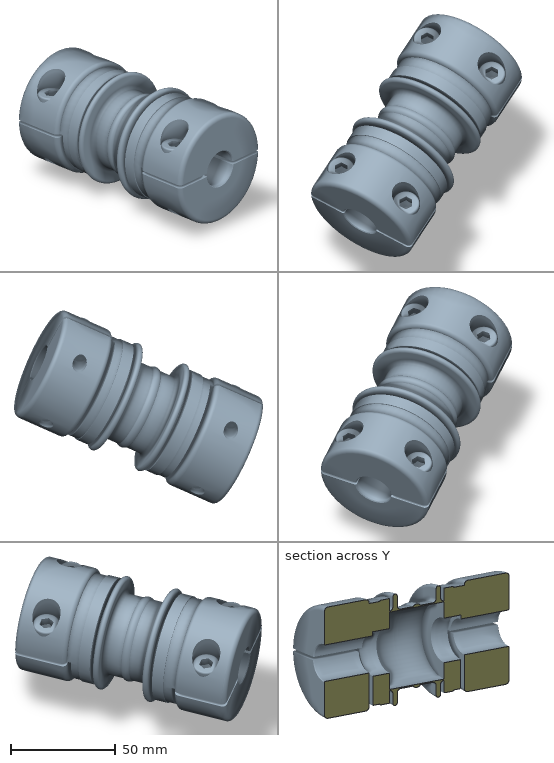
import cadquery as cq
import math


length = 107.0
outer_radius = 56.0 / 2

clamp_width = 26.1
clamp_fillet = 2.1
bore_radius = 18.0 / 2
bore_chamfer = 0.4
inner_bore_radius = 22.0 / 2
neck_radius = 51.6 / 2
neck_length = 6.0
ring_radius = 52.6 / 2
ring_width = 5.7
slit_height = 1.7
undercut_width = 1.9

end_x = -length / 2
clamp_x = end_x + clamp_width
undercut_x = clamp_x + undercut_width
ring_x = clamp_x + neck_length
tube_x = ring_x + ring_width

tube_radius = 40.0 / 2
tube_inner_radius = 38.4 / 2
disc_width = 2.9
disc_x = -12.5
disc_root_fillet = 1.7
bead_width = 4.3
bead_height = 1.0

screw_x = end_x + clamp_width / 2
screw_y = 18.0
head_radius = 13.0 / 2
head_height = 8.0
head_top_z = 15.5
head_fillet = 0.9
counterbore_radius = 13.5 / 2
seat_z = head_top_z - head_height
clearance_radius = 8.6 / 2
shank_radius = 8.0 / 2
shank_length = 20.0
tapped_radius = 6.8 / 2
socket_flats = 6.0
socket_depth = 4.0
socket_point_depth = 2.0


def cylinder_x(radius, start, end):
    """Solid cylinder on the X axis between two stations."""
    return cq.Workplane("YZ", origin=(start, 0, 0)).circle(radius).extrude(end - start)


def cylinder_z(radius, y, bottom, top):
    """Solid cylinder along Z on a screw axis."""
    return cq.Workplane("XY", origin=(screw_x, y, bottom)).circle(radius).extrude(top - bottom)


def box_between(x_range, z_range):
    """Box across the full width in Y, between two X and two Z limits."""
    x_size = x_range[1] - x_range[0]
    z_size = z_range[1] - z_range[0]
    box = cq.Workplane("XY").box(x_size, 2 * length, z_size, centered=(False, True, False))
    return box.translate((x_range[0], 0, z_range[0]))


def make_hub():
    """Clamp, neck and ring, with the bore and the L-shaped clamping slit."""
    clamp = cylinder_x(outer_radius, end_x, clamp_x).edges().fillet(clamp_fillet)
    neck = cylinder_x(neck_radius, clamp_x - clamp_fillet, ring_x)
    ring = cylinder_x(ring_radius, ring_x, tube_x)
    hub = clamp.union(neck).union(ring)
    hub = hub.cut(cylinder_x(bore_radius, end_x, undercut_x))
    hub = hub.faces("<X").edges(cq.selectors.RadiusNthSelector(0)).chamfer(bore_chamfer)
    hub = hub.cut(cylinder_x(inner_bore_radius, undercut_x, tube_x))
    slit = box_between((end_x, undercut_x), (-slit_height / 2, slit_height / 2))
    undercut = box_between((clamp_x, undercut_x), (-length, slit_height / 2))
    return hub.cut(slit).cut(undercut)


def make_bellows_half():
    """Half of the thin tube with one round-edged disc, revolved about X."""
    disc_left = disc_x - disc_width / 2
    disc_right = disc_x + disc_width / 2
    tip_base = outer_radius - disc_width / 2
    fillet_top = tube_radius + disc_root_fillet
    arc_middle = disc_root_fillet * (1 - math.sqrt(0.5))
    profile = (
        cq.Workplane("XY")
        .moveTo(tube_x, tube_inner_radius)
        .lineTo(tube_x, tube_radius)
        .lineTo(disc_left - disc_root_fillet, tube_radius)
        .threePointArc((disc_left - arc_middle, tube_radius + arc_middle), (disc_left, fillet_top))
        .lineTo(disc_left, tip_base)
        .threePointArc((disc_x, outer_radius), (disc_right, tip_base))
        .lineTo(disc_right, fillet_top)
        .threePointArc(
            (disc_right + arc_middle, tube_radius + arc_middle),
            (disc_right + disc_root_fillet, tube_radius),
        )
        .lineTo(0, tube_radius)
        .lineTo(0, tube_inner_radius)
        .close()
    )
    return profile.revolve(360, (0, 0, 0), (1, 0, 0))


def make_bead():
    """Rounded bead around the middle of the tube."""
    profile = (
        cq.Workplane("XY")
        .moveTo(-bead_width / 2, tube_inner_radius)
        .lineTo(-bead_width / 2, tube_radius)
        .threePointArc((0, tube_radius + bead_height), (bead_width / 2, tube_radius))
        .lineTo(bead_width / 2, tube_inner_radius)
        .close()
    )
    return profile.revolve(360, (0, 0, 0), (1, 0, 0))


def make_screw_hole(y):
    """Counterbore, clearance hole above the slit and tapped hole below it."""
    counterbore = cylinder_z(counterbore_radius, y, seat_z, outer_radius)
    clearance = cylinder_z(clearance_radius, y, 0, seat_z)
    tapped = cylinder_z(tapped_radius, y, -outer_radius, 0)
    return counterbore.union(clearance).union(tapped)


def make_screw(y):
    """Socket head cap screw with a rounded head and a point at the socket floor."""
    head = cylinder_z(head_radius, y, seat_z, head_top_z)
    head = head.faces(">Z").edges().fillet(head_fillet)
    shank = cylinder_z(shank_radius, y, seat_z - shank_length, seat_z)
    socket_radius = socket_flats / math.sqrt(3)
    floor_z = head_top_z - socket_depth
    point_z = floor_z - socket_point_depth
    hexagon = (
        cq.Workplane("XY", origin=(screw_x, y, point_z))
        .transformed(rotate=(0, 0, 90))
        .polygon(6, 2 * socket_radius)
        .extrude(head_top_z - point_z)
    )
    cone = cq.Workplane(
        cq.Solid.makeCone(0, socket_radius, socket_point_depth, cq.Vector(screw_x, y, point_z))
    )
    drilled_point = cone.union(cylinder_z(socket_radius, y, floor_z, head_top_z))
    return head.union(shank).cut(hexagon.intersect(drilled_point))


half = make_hub()
for side in (-1, 1):
    half = half.cut(make_screw_hole(side * screw_y))
    half = half.union(make_screw(side * screw_y))
half = half.union(make_bellows_half())
result = half.union(half.mirror("YZ")).union(make_bead())